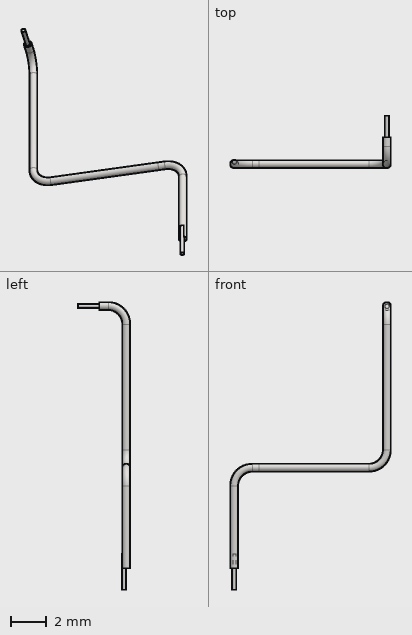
import cadquery as cq
import math


sleeve_diameter = 0.45
conductor_diameter = 0.24
bend_radius = 1.0

lower_leg = 5.6
crossbar = 8.5
upper_leg = 9.0
tail = 1.5

exposed_length = 1.195
embedded_length = 0.8
conductor_length = exposed_length + embedded_length
lower_conductor_offset = 0.125

joint_straight = 0.37

UP = cq.Vector(0, 0, 1)
ACROSS = cq.Vector(1, 0, 0)
BACK = cq.Vector(0, 1, 0)

sleeve_start = cq.Vector(0, 0, -lower_leg)
lower_corner = cq.Vector(0, 0, 0)
crossbar_corner = lower_corner + ACROSS * crossbar
upper_corner = crossbar_corner + UP * upper_leg
sleeve_end = upper_corner + BACK * tail
joint_point = lower_corner + ACROSS * (bend_radius + joint_straight)


def bend(corner, incoming, outgoing):
    """Quarter-circle arc that rounds a right-angle corner of the wire axis."""
    start = corner - incoming * bend_radius
    end = corner + outgoing * bend_radius
    middle = corner + (outgoing - incoming) * (bend_radius * (1 - math.sqrt(0.5)))
    return cq.Edge.makeThreePointArc(start, middle, end)


def straight(start, end):
    return cq.Edge.makeLine(start, end)


def wire_axis():
    """Centre line of the sleeve from the lower end to the upper end."""
    lower_bend = bend(lower_corner, UP, ACROSS)
    crossbar_bend = bend(crossbar_corner, ACROSS, UP)
    upper_bend = bend(upper_corner, UP, BACK)
    return cq.Wire.assembleEdges([
        straight(sleeve_start, lower_bend.startPoint()),
        lower_bend,
        straight(lower_bend.endPoint(), joint_point),
        straight(joint_point, crossbar_bend.startPoint()),
        crossbar_bend,
        straight(crossbar_bend.endPoint(), upper_bend.startPoint()),
        upper_bend,
        straight(upper_bend.endPoint(), sleeve_end),
    ])


def make_sleeve():
    section_plane = cq.Plane(origin=sleeve_start, xDir=ACROSS, normal=UP)
    section = cq.Workplane(section_plane).circle(sleeve_diameter / 2)
    return section.sweep(cq.Workplane(wire_axis()), clean=False)


def make_conductor(sleeve_face_center, outward):
    """Bare conductor that starts inside the sleeve and leaves through its end."""
    inner_end = sleeve_face_center - outward * embedded_length
    rod = cq.Solid.makeCylinder(conductor_diameter / 2, conductor_length, inner_end, outward)
    return cq.Workplane(rod)


lower_conductor = make_conductor(sleeve_start + BACK * lower_conductor_offset, -UP)
upper_conductor = make_conductor(sleeve_end, BACK)

sleeve = make_sleeve()
result = sleeve.union(lower_conductor, clean=False).union(upper_conductor, clean=False)